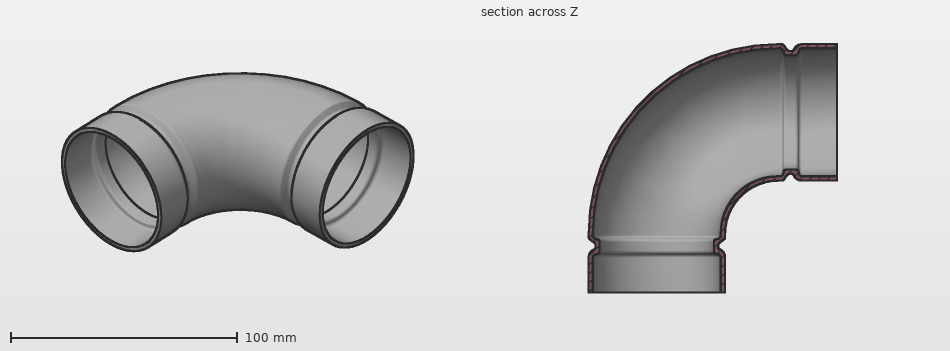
import cadquery as cq
import math

outer_diameter = 60.33
wall = 2.0
centre_to_end = 79.5
bend_radius = 53.5
bend_angle = 90.0

groove_depth = 3.0
groove_floor_start = 20.0
groove_floor_end = 21.0
gentle_shoulder_radius = 4.0
gentle_root_radius = 1.0
steep_angle = math.radians(54.0)
steep_arc_radius = 1.3

bead_start = 15.4
bead_crest_length = 3.8
bead_arc_radius = groove_depth / 2

outer_radius = outer_diameter / 2
inner_radius = outer_radius - wall
port_face = -centre_to_end
bend_start = -bend_radius


def start_profile(pipe_radius):
    """Half profile of a port, begun on the axis at the port face."""
    return cq.Workplane("XY").moveTo(0, port_face).lineTo(pipe_radius, port_face)


def revolve_profile(profile, pipe_radius):
    """Run the profile on to the bend, close it on the axis and turn it into a solid."""
    closed = profile.lineTo(pipe_radius, bend_start).lineTo(0, bend_start).close()
    return closed.revolve(360, (0, 0, 0), (0, 1, 0))


def port_body():
    """Solid port with the rolled groove around its outside."""
    floor_radius = outer_radius - groove_depth
    floor_start = port_face + groove_floor_start
    floor_end = port_face + groove_floor_end

    gentle_angle = math.acos(1 - groove_depth / (gentle_shoulder_radius + gentle_root_radius))
    root_run = gentle_root_radius * math.sin(gentle_angle)
    root_rise = gentle_root_radius * (1 - math.cos(gentle_angle))
    shoulder_run = gentle_shoulder_radius * math.sin(gentle_angle)

    steep_arc_run = steep_arc_radius * math.sin(steep_angle)
    steep_arc_rise = steep_arc_radius * (1 - math.cos(steep_angle))
    slope_run = (groove_depth - 2 * steep_arc_rise) / math.tan(steep_angle)
    slope_start = floor_end + steep_arc_run
    slope_end = slope_start + slope_run

    profile = (
        start_profile(outer_radius)
        .lineTo(outer_radius, floor_start - root_run - shoulder_run)
        .tangentArcPoint((floor_radius + root_rise, floor_start - root_run), relative=False)
        .tangentArcPoint((floor_radius, floor_start), relative=False)
        .lineTo(floor_radius, floor_end)
        .tangentArcPoint((floor_radius + steep_arc_rise, slope_start), relative=False)
        .lineTo(outer_radius - steep_arc_rise, slope_end)
        .tangentArcPoint((outer_radius, slope_end + steep_arc_run), relative=False)
    )
    return revolve_profile(profile, outer_radius)


def port_bore():
    """Solid core of a port, narrowed by the bead."""
    crest_radius = inner_radius - groove_depth
    flank_middle = inner_radius - bead_arc_radius
    rise_start = port_face + bead_start
    crest_start = rise_start + 2 * bead_arc_radius
    crest_end = crest_start + bead_crest_length
    fall_end = crest_end + 2 * bead_arc_radius

    profile = (
        start_profile(inner_radius)
        .lineTo(inner_radius, rise_start)
        .tangentArcPoint((flank_middle, rise_start + bead_arc_radius), relative=False)
        .tangentArcPoint((crest_radius, crest_start), relative=False)
        .lineTo(crest_radius, crest_end)
        .tangentArcPoint((flank_middle, crest_end + bead_arc_radius), relative=False)
        .tangentArcPoint((inner_radius, fall_end), relative=False)
    )
    return revolve_profile(profile, inner_radius)


def hollow_bend():
    """Hollow quarter turn from the -Y port to the +X port."""
    return (
        cq.Workplane("XZ", origin=(0, bend_start, 0))
        .circle(outer_radius)
        .circle(inner_radius)
        .revolve(bend_angle, (bend_radius, 1, 0), (bend_radius, 0, 0))
    )


port = port_body().cut(port_bore())
opposite_port = port.rotate((0, 0, 0), (1, -1, 0), 180)
result = hollow_bend().union(port).union(opposite_port)